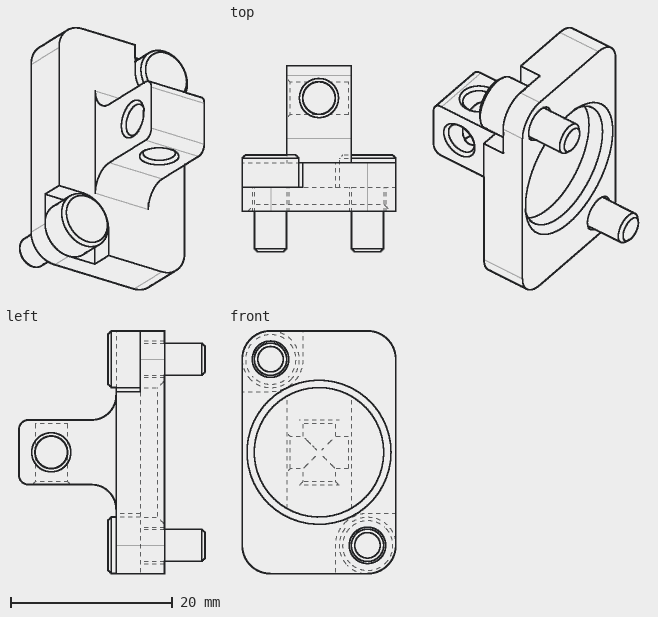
import cadquery as cq
import math

plate_width = 19.0
plate_height = 30.0
plate_thickness = 6.0
corner_radius = 3.5

pocket_diameter = 16.0
pocket_depth = 3.0
pocket_chamfer = 0.9

lug_size = 8.0
lug_length = 12.0
lug_root_radius = 3.0
lug_tip_radius = 1.2
lug_hole_diameter = 4.0
lug_hole_chamfer = 0.42
lug_end = plate_thickness + lug_length
lug_hole_y = lug_end - lug_size / 2

screw_x = plate_width / 2 - corner_radius
screw_z = plate_height / 2 - corner_radius
screw_diameter = 4.0
screw_tip_y = -5.0
screw_chamfer = 0.42
head_diameter = 2 * corner_radius
head_height = 4.0
clearance_hole_diameter = 4.5

seat_y = 3.0
seat_radius = 4.0

screw_corners = [(-1, 1), (1, -1)]


def cylinder_y(x, z, diameter, y_start, y_end):
    """Cylinder along +Y between two Y positions."""
    return cq.Workplane(
        cq.Solid.makeCylinder(
            diameter / 2, y_end - y_start, cq.Vector(x, y_start, z), cq.Vector(0, 1, 0)
        )
    )


def make_plate():
    """Rounded rectangular plate."""
    return (
        cq.Workplane("XY")
        .box(plate_width, plate_thickness, plate_height)
        .edges("|Y")
        .fillet(corner_radius)
        .translate((0, plate_thickness / 2, 0))
    )


def make_lug():
    """Square lug with a rounded tip and concave root, extruded along X."""
    half = lug_size / 2
    root_half = half + lug_root_radius
    root_end = plate_thickness + lug_root_radius
    root_arc = lug_root_radius * (1 - math.cos(math.radians(45)))
    return (
        cq.Workplane("YZ")
        .moveTo(plate_thickness, -root_half)
        .threePointArc((plate_thickness + root_arc, -half - root_arc), (root_end, -half))
        .lineTo(lug_end, -half)
        .lineTo(lug_end, half)
        .lineTo(root_end, half)
        .threePointArc((plate_thickness + root_arc, half + root_arc), (plate_thickness, root_half))
        .close()
        .extrude(half, both=True)
        .faces(">Y")
        .edges("|X")
        .fillet(lug_tip_radius)
    )


def make_lug_hole():
    """Cutter along Z for a lug hole, flared at both mouths."""
    radius = lug_hole_diameter / 2
    mouth_radius = radius + lug_hole_chamfer
    half = lug_size / 2
    straight_half = half - lug_hole_chamfer
    return (
        cq.Workplane("XZ")
        .polyline(
            [
                (0, -half),
                (mouth_radius, -half),
                (radius, -straight_half),
                (radius, straight_half),
                (mouth_radius, half),
                (0, half),
            ]
        )
        .close()
        .revolve(360, (0, 0, 0), (0, 1, 0))
        .translate((0, lug_hole_y, 0))
    )


def make_pocket():
    """Cutter for the front pocket with its chamfered mouth."""
    radius = pocket_diameter / 2
    return (
        cq.Workplane("XY")
        .polyline(
            [
                (0, 0),
                (radius + pocket_chamfer, 0),
                (radius, pocket_chamfer),
                (radius, pocket_depth),
                (0, pocket_depth),
            ]
        )
        .close()
        .revolve(360, (0, 0, 0), (0, 1, 0))
    )


def make_seat(side_x, side_z):
    """Cutter for a corner seat, open to both plate edges and the back face."""
    size = 3 * seat_radius
    offset = size / 2 - seat_radius
    block_depth = plate_thickness - seat_y
    inner_side = "<X" if side_x > 0 else ">X"
    inner_end = "<Z" if side_z > 0 else ">Z"
    return (
        cq.Workplane("XY")
        .box(size, block_depth, size)
        .faces(inner_side)
        .edges(inner_end)
        .fillet(seat_radius)
        .translate(
            (
                side_x * (screw_x + offset),
                seat_y + block_depth / 2,
                side_z * (screw_z + offset),
            )
        )
    )


def make_bracket():
    """Plate and lug in one piece, with pocket, seats and holes."""
    hole_along_z = make_lug_hole()
    hole_along_x = hole_along_z.rotate((0, lug_hole_y, 0), (0, lug_hole_y + 0.3, 0), 90)
    lug = make_lug().cut(hole_along_z).cut(hole_along_x)
    bracket = make_plate().cut(make_pocket())
    for side_x, side_z in screw_corners:
        bracket = bracket.cut(make_seat(side_x, side_z))
        bracket = bracket.cut(
            cylinder_y(
                side_x * screw_x, side_z * screw_z, clearance_hole_diameter, 0, plate_thickness
            )
        )
    return bracket.union(lug)


def make_screw(side_x, side_z):
    """Cylinder-head screw pointing to -Y, chamfered at head and tip."""
    x = side_x * screw_x
    z = side_z * screw_z
    head = cylinder_y(x, z, head_diameter, seat_y, seat_y + head_height)
    head = head.faces(">Y").chamfer(screw_chamfer)
    shank = cylinder_y(x, z, screw_diameter, screw_tip_y, seat_y)
    shank = shank.faces("<Y").chamfer(screw_chamfer)
    return head.union(shank)


bracket = make_bracket()
screws = [make_screw(side_x, side_z) for side_x, side_z in screw_corners]

result = cq.Compound.makeCompound([bracket.val(), *[screw.val() for screw in screws]])